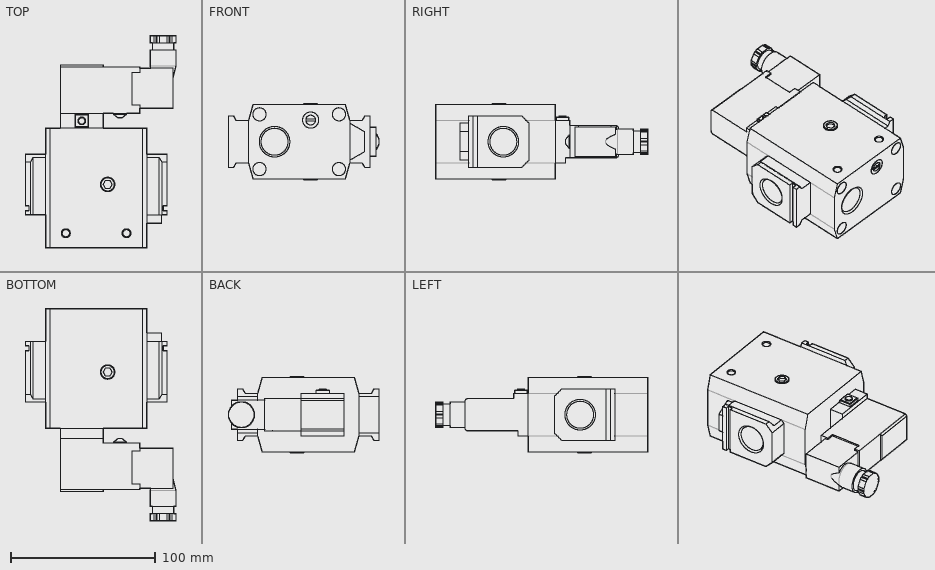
import cadquery as cq
import math


BLOCK_WIDTH = 70.1
BLOCK_TOP_WIDTH = 64.0
BLOCK_LENGTH = 82.9
BLOCK_HEIGHT = 51.7
SIDE_HEIGHT = 29.7

FLANGE_REACH = 49.1
FLANGE_RIM = 3.7
FLANGE_SLOPE = 1.8
FLANGE_HEIGHT = 35.9
FLANGE_FRONT = 22.8
FLANGE_LENGTH = 42.0
FLANGE_CORNER = 5.3
GROOVE_FRONT = 25.9
GROOVE_WIDTH = 3.2
GROOVE_DEPTH = 2.5
WEDGE_FRONT = 16.9
WEDGE_REACH = 45.3
WEDGE_ROOT_HEIGHT = 25.6
WEDGE_TIP_HEIGHT = 13.8

PORT_DIAMETER = 18.7
PORT_MOUTH_DIAMETER = 21.2
PORT_DEPTH = 19.1
FRONT_PORT_X = -17.0
SIDE_PORT_Y = 46.9
MOUNT_DIAMETER = 5.0
MOUNT_MOUTH_DIAMETER = 6.2
MOUNT_DEPTH = 11.8
MOUNT_SPACING = 42.0
MOUNT_Y = 10.1
DRILL_POINT_ANGLE = 118.0

PLUG_X = 8.0
PLUG_Y = 44.0
PLUG_RADIUS = 5.0
PLUG_TOP_RADIUS = 4.5
PLUG_HEIGHT = 0.6
PLUG_HEX = 5.5
PLUG_HEX_DEPTH = 1.5
SCREW_SPACING_X = 55.0
SCREW_SPACING_Z = 37.9
SCREW_DIAMETER = 9.1
FACE_RECESS = 0.1
ADJUSTER_Z = 15.0
ADJUSTER_SEAT_DIAMETER = 11.2
ADJUSTER_DIAMETER = 6.8
SLOT_WIDTH = 1.3
SLOT_DEPTH = 0.9

PILOT_LEFT = -24.8
PILOT_FRONT = 93.0
PILOT_LENGTH = 32.3
PILOT_HEIGHT = 22.5
BASE_WIDTH = 29.8
BASE_UNDERSIDE_Y = 90.0
CAP_LENGTH = 7.5
CAP_OVERHANG = 1.3
COIL_RIGHT = 30.3
BUTTON_X = -10.0
BUTTON_Y = 87.9
BUTTON_WIDTH = 9.4
BUTTON_LENGTH = 8.8
BUTTON_HEIGHT = 2.4
BUTTON_BEVEL = 0.5
BUTTON_STUD_RADIUS = 2.6
BUTTON_STUD_TOP_RADIUS = 2.2
BUTTON_STUD_HEIGHT = 0.6
NUB_X = 16.5
NUB_RADIUS = 4.5
NUB_TIP_RADIUS = 1.5
NUB_RIM = 0.6
NUB_HEIGHT = 3.1

CONNECTOR_RIGHT = 53.2
CONNECTOR_FRONT = 96.6
CONNECTOR_LENGTH = 28.0
CONNECTOR_HEIGHT = 20.1
TONGUE_LEFT = 24.8
TONGUE_FRONT = 98.8
TONGUE_LENGTH = 22.6
GLAND_X = 46.3
GLAND_RADIUS = 9.0
GLAND_ROOT_RADIUS = 6.9
GLAND_ROOT_Y = 117.6
GLAND_CONE_END = 125.8
GLAND_SHOULDER = 137.0
NECK_RADIUS = 7.5
NUT_START = 142.0
NUT_END = 147.0
NUT_FLATS = 17.5
NUT_RADIUS = 9.1
NUT_NOTCH_WIDTH = 0.7
NUT_NOTCH_DEPTH = 0.3


def box(x0, x1, y0, y1, height):
    """Box between two X and two Y positions, centred on Z = 0."""
    middle = ((x0 + x1) / 2, (y0 + y1) / 2, 0)
    return cq.Workplane("XY").box(x1 - x0, y1 - y0, height).translate(middle)


def prism_along_y(points, y0, y1):
    """Closed X-Z outline extruded from y0 to y1."""
    return cq.Workplane("XZ", origin=(0, y0, 0)).polyline(points).close().extrude(y0 - y1)


def cylinder(radius, start, direction, length):
    return cq.Workplane(cq.Solid.makeCylinder(radius, length, cq.Vector(*start), cq.Vector(*direction)))


def cone(start_radius, end_radius, start, direction, length):
    return cq.Workplane(
        cq.Solid.makeCone(start_radius, end_radius, length, cq.Vector(*start), cq.Vector(*direction))
    )


def drilled_hole(diameter, mouth_diameter, depth, mouth, direction):
    """Blind hole with a 45 degree mouth chamfer and a drill point."""
    radius = diameter / 2
    mouth_radius = mouth_diameter / 2
    chamfer = mouth_radius - radius
    point_length = radius / math.tan(math.radians(DRILL_POINT_ANGLE / 2))
    bottom = [m + d * depth for m, d in zip(mouth, direction)]
    hole = cylinder(radius, mouth, direction, depth)
    hole = hole.union(cone(mouth_radius, radius, mouth, direction, chamfer))
    return hole.union(cone(radius, 0, bottom, direction, point_length))


def mirrored_outline(upper_points):
    """Upper half of an X-Z outline completed by its mirror image below Z = 0."""
    return upper_points + [(x, -z) for x, z in reversed(upper_points)]


def block():
    quarter = [
        (BLOCK_WIDTH / 2, SIDE_HEIGHT / 2),
        (BLOCK_TOP_WIDTH / 2, BLOCK_HEIGHT / 2),
    ]
    upper = quarter + [(-x, z) for x, z in reversed(quarter)]
    return prism_along_y(mirrored_outline(upper), 0, BLOCK_LENGTH)


def right_flange():
    rim_inner = FLANGE_REACH - FLANGE_RIM
    flange_rear = FLANGE_FRONT + FLANGE_LENGTH
    upper = [
        (0, SIDE_HEIGHT / 2),
        (rim_inner - FLANGE_SLOPE, SIDE_HEIGHT / 2),
        (rim_inner, FLANGE_HEIGHT / 2),
        (FLANGE_REACH, FLANGE_HEIGHT / 2),
    ]
    flange = prism_along_y(mirrored_outline(upper), FLANGE_FRONT, flange_rear)
    bevelled = (
        box(0, FLANGE_REACH, FLANGE_FRONT, flange_rear, FLANGE_HEIGHT)
        .edges(">Y and |X")
        .chamfer(FLANGE_CORNER)
    )
    groove = box(
        FLANGE_REACH - GROOVE_DEPTH, FLANGE_REACH, GROOVE_FRONT, GROOVE_FRONT + GROOVE_WIDTH, FLANGE_HEIGHT
    )
    return flange.intersect(bevelled).cut(groove)


def wedge():
    upper = [(BLOCK_WIDTH / 2, WEDGE_ROOT_HEIGHT / 2), (WEDGE_REACH, WEDGE_TIP_HEIGHT / 2)]
    return prism_along_y(mirrored_outline(upper), WEDGE_FRONT, FLANGE_FRONT)


def top_plug():
    foot = (PLUG_X, PLUG_Y, BLOCK_HEIGHT / 2)
    return cone(PLUG_RADIUS, PLUG_TOP_RADIUS, foot, (0, 0, 1), PLUG_HEIGHT)


def top_plug_socket():
    socket_top = BLOCK_HEIGHT / 2 + PLUG_HEIGHT
    across_corners = PLUG_HEX / math.cos(math.pi / 6)
    return (
        cq.Workplane("XY", origin=(PLUG_X, PLUG_Y, socket_top))
        .polygon(6, across_corners)
        .extrude(-PLUG_HEX_DEPTH)
    )


def ports():
    front_mouth = (FRONT_PORT_X, 0, 0)
    cutters = drilled_hole(PORT_DIAMETER, PORT_MOUTH_DIAMETER, PORT_DEPTH, front_mouth, (0, 1, 0))
    for side in (-1, 1):
        mouth = (side * FLANGE_REACH, SIDE_PORT_Y, 0)
        side_port = drilled_hole(PORT_DIAMETER, PORT_MOUTH_DIAMETER, PORT_DEPTH, mouth, (-side, 0, 0))
        cutters = cutters.add(side_port)
    return cutters.combine()


def mounting_holes():
    cutters = cq.Workplane()
    for side in (-1, 1):
        mouth = (side * MOUNT_SPACING / 2, MOUNT_Y, BLOCK_HEIGHT / 2)
        hole = drilled_hole(MOUNT_DIAMETER, MOUNT_MOUTH_DIAMETER, MOUNT_DEPTH, mouth, (0, 0, -1))
        cutters = cutters.add(hole)
    return cutters.combine()


def screw_recesses():
    return (
        cq.Workplane("XZ")
        .rarray(SCREW_SPACING_X, SCREW_SPACING_Z, 2, 2)
        .circle(SCREW_DIAMETER / 2)
        .extrude(-FACE_RECESS)
    )


def adjuster_recess():
    """Ring-shaped seat around the adjusting screw, with the slot across its head."""
    face = cq.Workplane("XZ", origin=(PLUG_X, 0, ADJUSTER_Z))
    seat = face.circle(ADJUSTER_SEAT_DIAMETER / 2).circle(ADJUSTER_DIAMETER / 2).extrude(-FACE_RECESS)
    head = face.circle(ADJUSTER_DIAMETER / 2).extrude(-SLOT_DEPTH)
    slot = face.rect(ADJUSTER_DIAMETER, SLOT_WIDTH).extrude(-SLOT_DEPTH).intersect(head)
    return seat.union(slot)


def make_valve_body():
    flange = right_flange()
    plug = top_plug()
    socket = top_plug_socket()
    body = block().union(flange).union(flange.mirror("YZ")).union(wedge())
    body = body.union(plug).union(plug.mirror("XY"))
    body = body.cut(socket).cut(socket.mirror("XY"))
    return body.cut(ports()).cut(mounting_holes()).cut(screw_recesses()).cut(adjuster_recess())


def pilot_base():
    right = PILOT_LEFT + BASE_WIDTH
    base = box(PILOT_LEFT, right, BLOCK_LENGTH, PILOT_FRONT, SIDE_HEIGHT)
    undercut_drop = (SIDE_HEIGHT + PILOT_HEIGHT) / 2
    undercut = box(PILOT_LEFT, right, BASE_UNDERSIDE_Y, PILOT_FRONT, SIDE_HEIGHT)
    return base.cut(undercut.translate((0, 0, -undercut_drop)))


def override_button():
    base_top = SIDE_HEIGHT / 2
    button = (
        cq.Workplane("XY", origin=(BUTTON_X, BUTTON_Y, base_top))
        .rect(BUTTON_WIDTH, BUTTON_LENGTH)
        .extrude(BUTTON_HEIGHT)
        .faces(">Z")
        .chamfer(BUTTON_BEVEL)
    )
    stud_foot = (BUTTON_X, BUTTON_Y, base_top + BUTTON_HEIGHT)
    stud = cone(BUTTON_STUD_RADIUS, BUTTON_STUD_TOP_RADIUS, stud_foot, (0, 0, 1), BUTTON_STUD_HEIGHT)
    return button.union(stud)


def pilot_housing():
    """Pilot housing and coil, with the bevelled end cap."""
    rear = PILOT_FRONT + PILOT_LENGTH
    cap_rear = rear + CAP_OVERHANG
    housing = box(PILOT_LEFT, COIL_RIGHT, PILOT_FRONT, rear, PILOT_HEIGHT)
    cap = (
        box(PILOT_LEFT, PILOT_LEFT + BASE_WIDTH, cap_rear - CAP_LENGTH, cap_rear, PILOT_HEIGHT)
        .edges(">Y and |X")
        .chamfer(CAP_OVERHANG)
    )
    tongue_seat = box(TONGUE_LEFT, COIL_RIGHT, TONGUE_FRONT, TONGUE_FRONT + TONGUE_LENGTH, PILOT_HEIGHT)
    return housing.union(cap).cut(tongue_seat)


def coil_nub():
    rim = cylinder(NUB_RADIUS, (NUB_X, PILOT_FRONT, 0), (0, -1, 0), NUB_RIM)
    tip_start = (NUB_X, PILOT_FRONT - NUB_RIM, 0)
    return rim.union(cone(NUB_RADIUS, NUB_TIP_RADIUS, tip_start, (0, -1, 0), NUB_HEIGHT - NUB_RIM))


def connector():
    shell_rear = CONNECTOR_FRONT + CONNECTOR_LENGTH
    tongue_rear = TONGUE_FRONT + TONGUE_LENGTH
    shell = box(COIL_RIGHT, CONNECTOR_RIGHT, CONNECTOR_FRONT, shell_rear, CONNECTOR_HEIGHT)
    tongue = box(TONGUE_LEFT, COIL_RIGHT, TONGUE_FRONT, tongue_rear, CONNECTOR_HEIGHT)
    return shell.union(tongue)


def cable_gland():
    """Tapered root, sleeve and neck turned about one axis along Y."""
    profile = [
        (0, GLAND_ROOT_Y),
        (GLAND_ROOT_RADIUS, GLAND_ROOT_Y),
        (GLAND_RADIUS, GLAND_CONE_END),
        (GLAND_RADIUS, GLAND_SHOULDER),
        (NECK_RADIUS, GLAND_SHOULDER),
        (NECK_RADIUS, NUT_START),
        (0, NUT_START),
    ]
    sleeve = cq.Workplane("XY").polyline(profile).close().revolve(360, (0, 0, 0), (0, 1, 0))
    return sleeve.translate((GLAND_X, 0, 0)).union(gland_nut())


def gland_nut():
    """Hexagon nut with rounded corners, each corner notched along its length."""
    across_corners = NUT_FLATS / math.cos(math.pi / 6)
    length = NUT_END - NUT_START
    face = cq.Workplane("XZ", origin=(GLAND_X, NUT_START, 0))
    hexagon = face.polygon(6, across_corners).extrude(-length)
    rounding = cylinder(NUT_RADIUS, (GLAND_X, NUT_START, 0), (0, 1, 0), length)
    notches = (
        face.polarArray(NUT_RADIUS, 0, 360, 6)
        .rect(2 * NUT_NOTCH_DEPTH, NUT_NOTCH_WIDTH)
        .extrude(-length)
    )
    return hexagon.intersect(rounding).cut(notches)


def make_pilot_valve():
    pilot = pilot_base().union(override_button()).union(pilot_housing())
    return pilot.union(coil_nub()).union(connector()).union(cable_gland())


valve_body = make_valve_body()
pilot_valve = make_pilot_valve()
result = cq.Compound.makeCompound([valve_body.val(), pilot_valve.val()])